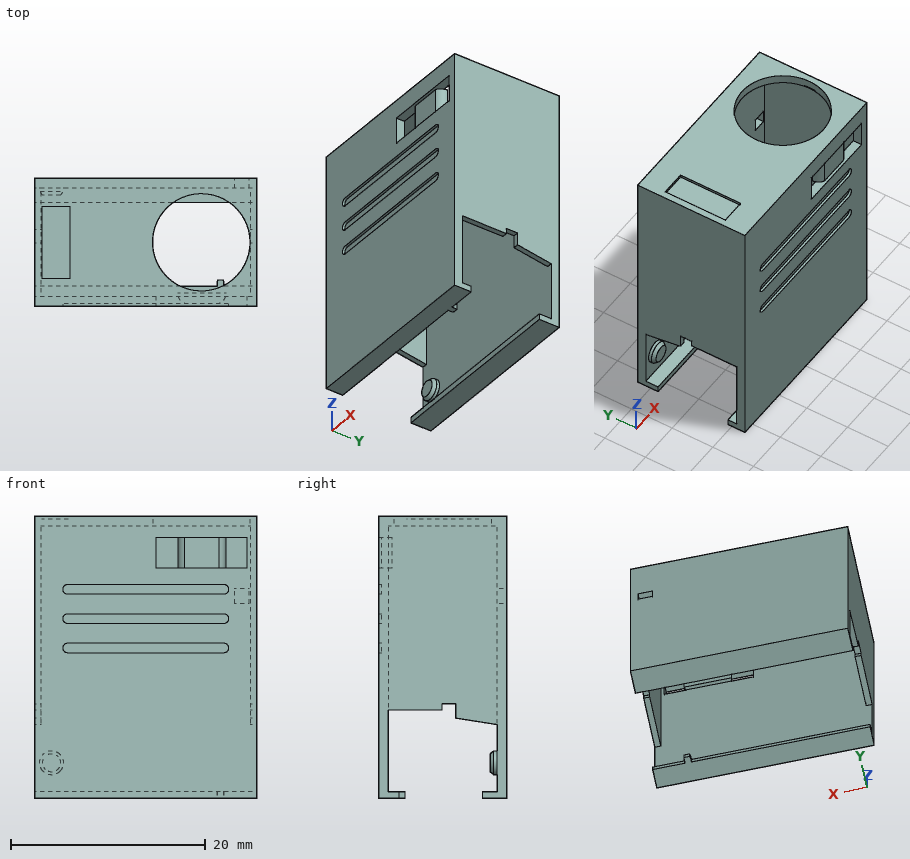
import cadquery as cq
import math

length = 22.85
width = 13.2
height = 29.0
side_wall = 1.02
end_wall = 0.65
top_wall = 1.02
lip_height = 0.7

front = -width / 2
inner_front = front + side_wall
inner_back = width / 2 - side_wall
inner_width = width - 2 * side_wall

front_lip = 2.1
back_lip = 2.52

opening_front_top = 9.08
notch_front_y = -0.05
notch_width = 1.4
notch_top = 9.72
slope_high = 8.25
slope_low = 7.57

tooth_x = 7.68
tooth_width = 0.7
tooth_reach = 2.73
tooth_tip_length = 0.2
tooth_tip_inset = 0.05

hole_x = 5.7
hole_diameter = 10.0

pocket_length = 2.87
pocket_width = 7.4
pocket_margin = 0.75
pocket_depth = 0.3

front_window_x = 5.75
front_window_length = 9.37
front_window_height = 3.13
front_window_top = 26.8
front_window_bottom = front_window_top - front_window_height

bar_x = 5.77
bar_length = 4.95
bar_face_length = 3.55
bar_recess = 0.32
bar_depth = 1.05

back_window_size = 1.5
back_window_x = 9.85
back_window_bottom = 20.05

groove_count = 3
groove_length = 17.05
groove_height = 1.0
groove_top_z = 21.5
groove_pitch = 3.02
groove_depth = 0.3

button_x = -9.7
button_z = 3.65
button_diameter = 2.46
button_face_diameter = 1.85
button_base = 0.35
button_height = 0.72


def box(x_size, y_size, z_size, x_mid, y_min, z_min):
    """Box centred on x_mid, rising from y_min and z_min."""
    block = cq.Workplane("XY").box(x_size, y_size, z_size, centered=(True, False, False))
    return block.translate((x_mid, y_min, z_min))


def make_shell():
    shell = box(length, width, height, 0, front, 0)
    cavity_height = height - top_wall - lip_height
    cavity = box(length - 2 * end_wall, inner_width, cavity_height, 0, inner_front, lip_height)
    return shell.cut(cavity)


def make_end_opening():
    """Prism along X: the gap between the lips and the stepped openings of the end walls."""
    front_lip_edge = front + front_lip
    back_lip_edge = width / 2 - back_lip
    notch_back_y = notch_front_y + notch_width
    outline = [
        (front_lip_edge, 0),
        (front_lip_edge, lip_height),
        (inner_front, lip_height),
        (inner_front, opening_front_top),
        (notch_front_y, opening_front_top),
        (notch_front_y, notch_top),
        (notch_back_y, notch_top),
        (notch_back_y, slope_high),
        (inner_back, slope_low),
        (inner_back, lip_height),
        (back_lip_edge, lip_height),
        (back_lip_edge, 0),
    ]
    return cq.Workplane("YZ").polyline(outline).close().extrude(length / 2, both=True)


def make_tooth():
    """Tooth as tall as the lip, narrowing slightly toward its tip."""
    half_width = tooth_width / 2
    half_tip = half_width - tooth_tip_inset
    outline = [
        (-half_width, 0),
        (half_width, 0),
        (half_width, tooth_reach - tooth_tip_length),
        (half_tip, tooth_reach),
        (-half_tip, tooth_reach),
        (-half_width, tooth_reach - tooth_tip_length),
    ]
    return cq.Workplane("XY", origin=(tooth_x, front, 0)).polyline(outline).close().extrude(lip_height)


def make_hole():
    hole = cq.Workplane("XY").center(hole_x, 0).circle(hole_diameter / 2).extrude(top_wall)
    return hole.translate((0, 0, height - top_wall))


def make_pocket():
    pocket_x = -length / 2 + pocket_margin + pocket_length / 2
    return box(pocket_length, pocket_width, pocket_depth, pocket_x, -pocket_width / 2, height - pocket_depth)


def make_front_window():
    return box(
        front_window_length, side_wall, front_window_height, front_window_x, front, front_window_bottom
    )


def make_back_window():
    return box(
        back_window_size, side_wall, back_window_size, back_window_x, inner_back, back_window_bottom
    )


def make_bar():
    """Bar with a flat face and convex sides that run out square to its flat back."""
    half_face = bar_face_length / 2
    half_length = bar_length / 2
    bulge = half_length - half_face
    radius = (bar_depth**2 + bulge**2) / (2 * bulge)
    half_angle = math.asin(bar_depth / radius) / 2
    mid_x = half_length - radius * (1 - math.cos(half_angle))
    mid_y = bar_depth - radius * math.sin(half_angle)
    return (
        cq.Workplane("XY", origin=(bar_x, front + bar_recess, front_window_bottom))
        .moveTo(-half_face, 0)
        .lineTo(half_face, 0)
        .threePointArc((mid_x, mid_y), (half_length, bar_depth))
        .lineTo(-half_length, bar_depth)
        .threePointArc((-mid_x, mid_y), (-half_face, 0))
        .close()
        .extrude(front_window_height)
    )


def make_grooves():
    """Round-ended grooves, stacked downward from the top one."""
    lowest_z = groove_top_z - (groove_count - 1) * groove_pitch
    middle_z = (groove_top_z + lowest_z) / 2
    return (
        cq.Workplane("XZ", origin=(0, front, middle_z))
        .rarray(0.3, groove_pitch, 1, groove_count)
        .slot2D(groove_length, groove_height)
        .extrude(-groove_depth)
    )


def make_button():
    """Round button with a tapered rim, pointing toward -Y."""
    radius = button_diameter / 2
    face_radius = button_face_diameter / 2
    half_section = [
        (0, 0),
        (radius, 0),
        (radius, -button_base),
        (face_radius, -button_height),
        (0, -button_height),
    ]
    button = cq.Workplane("XY").polyline(half_section).close().revolve(360, (0, 0, 0), (0, 1, 0))
    return button.translate((button_x, inner_back, button_z))


result = (
    make_shell()
    .cut(make_end_opening())
    .union(make_tooth())
    .cut(make_hole())
    .cut(make_pocket())
    .cut(make_front_window())
    .cut(make_back_window())
    .union(make_bar())
    .cut(make_grooves())
    .union(make_button())
)